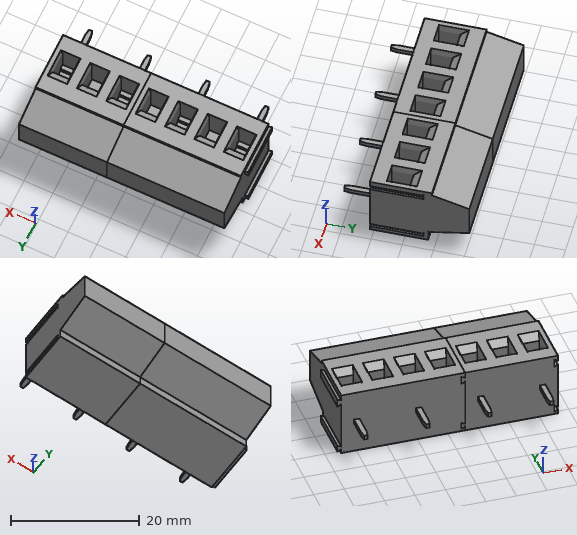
import cadquery as cq


overall_length = 36.15
overall_depth = 20.7
poles_per_block = [4, 3]
tongue_depth = 0.6
pole_pitch = (overall_length - tongue_depth) / sum(poles_per_block)

block_depth = 16.0
block_height = 11.0
top_shelf_depth = 9.98
bottom_shelf_depth = 9.35
roof_step = 0.5
roof_drop = 2.1
belly_step = 1.8
belly_rise = 3.3

tongue_length = 8.6
tongue_flare = 0.25
upper_tongue_height = 1.3
upper_tongue_inset = 0.7
upper_tongue_z = block_height - upper_tongue_inset - upper_tongue_height
lower_tongue_height = 1.1
lower_tongue_z = 0.45
dovetails = [(upper_tongue_z, upper_tongue_height), (lower_tongue_z, lower_tongue_height)]

poles_per_pin = 2
pin_width = 0.9
pin_thickness = 0.72
pin_length = overall_depth - block_depth
pin_tip_length = 1.1
pin_tip_width = 0.58
pin_bottom = 5.25
pin_foot_end = 3.33

entry_front = 2.53
entry_width = 3.4
entry_length = 4.85
funnel_depth = 0.98
shaft_width = 2.82
shaft_length = 3.55
shaft_floor = pin_bottom


def block_profile(length):
    """Side outline of a block, extruded over its length in +X."""
    outline = [
        (0, 0),
        (bottom_shelf_depth, 0),
        (bottom_shelf_depth, belly_step),
        (block_depth, belly_rise),
        (block_depth, block_height - roof_drop),
        (top_shelf_depth, block_height - roof_step),
        (top_shelf_depth, block_height),
        (0, block_height),
    ]
    return cq.Workplane("YZ").polyline(outline).close().extrude(length)


def dovetail_bar(wall_x, bottom, height):
    """Bar that widens from the neck at wall_x to its flat outer face at -X."""
    outer_x = wall_x - tongue_depth
    outline = [
        (wall_x, bottom + tongue_flare),
        (outer_x, bottom),
        (outer_x, bottom + height),
        (wall_x, bottom + height - tongue_flare),
    ]
    return cq.Workplane("XZ").polyline(outline).close().extrude(-tongue_length)


def wire_entry(center_x):
    """Funnel whose front wall is upright, above a straight rectangular shaft."""
    funnel = (
        cq.Workplane("XY", origin=(center_x, 0, block_height))
        .center(0, entry_front + entry_length / 2)
        .rect(entry_width, entry_length)
        .workplane(offset=-funnel_depth)
        .center(0, (shaft_length - entry_length) / 2)
        .rect(shaft_width, shaft_length)
        .loft(ruled=True)
    )
    shaft_height = block_height - funnel_depth - shaft_floor
    shaft = cq.Workplane("XY", origin=(center_x, entry_front, shaft_floor)).box(
        shaft_width, shaft_length, shaft_height, centered=(True, False, False)
    )
    return funnel.union(shaft)


def solder_pin(center_x):
    """Flat pin with a tapered tip, and its wide foot across the front of the shaft floor."""
    taper_start = -(pin_length - pin_tip_length)
    outline = [
        (-pin_width / 2, entry_front),
        (-pin_width / 2, taper_start),
        (-pin_tip_width / 2, -pin_length),
        (pin_tip_width / 2, -pin_length),
        (pin_width / 2, taper_start),
        (pin_width / 2, entry_front),
    ]
    pin_plane = cq.Workplane("XY", origin=(center_x, 0, pin_bottom))
    pin = pin_plane.polyline(outline).close().extrude(pin_thickness)
    foot = cq.Workplane("XY", origin=(center_x, entry_front, pin_bottom)).box(
        shaft_width, pin_foot_end - entry_front, pin_thickness, centered=(True, False, False)
    )
    return pin.union(foot)


def terminal_block(first_pole, poles):
    """One block with its tongues, sockets, wire entries and pins."""
    left_wall = first_pole * pole_pitch
    length = poles * pole_pitch
    block = block_profile(length).translate((left_wall, 0, 0))

    for bottom, height in dovetails:
        block = block.union(dovetail_bar(left_wall, bottom, height))
        block = block.cut(dovetail_bar(left_wall + length, bottom, height))

    for pole in range(first_pole, first_pole + poles):
        center_x = (pole + 0.5) * pole_pitch
        block = block.cut(wire_entry(center_x))
        if pole % poles_per_pin == 0:
            block = block.union(solder_pin(center_x))
    return block.solids().val()


blocks = []
first_pole = 0
for poles in poles_per_block:
    blocks.append(terminal_block(first_pole, poles))
    first_pole += poles

result = cq.Compound.makeCompound(blocks)